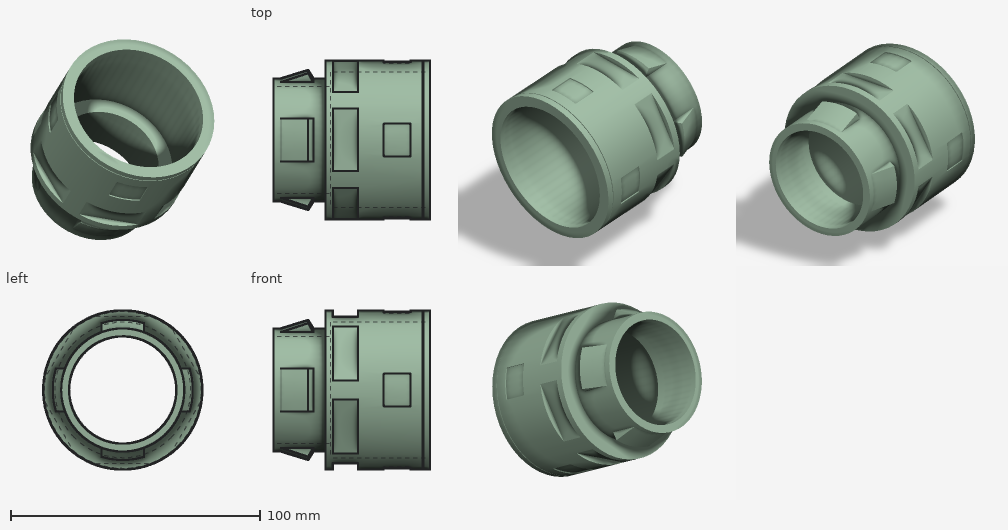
import cadquery as cq

total_length = 63.0
body_diameter = 64.0
neck_diameter = 49.5
neck_length = 20.9
bore_diameter = 43.0
socket_diameter = 54.5
socket_start = 22.9

flat_count = 6
flat_start = 23.95
flat_length = 10.0
across_flats = 58.9

recess_diameter = 63.0
window_count = 4
window_start = 44.3
window_length = 10.8
window_width = 13.2
window_corner_radius = 0.5
groove_start = 60.0
groove_width = 0.3

lug_count = 4
lug_start = 3.1
lug_crest = 14.0
lug_end = 16.05
lug_crest_radius = 28.15
lug_width = 17.1


def cylinder(start, length, diameter):
    """Cylinder along X beginning at the given X position."""
    return cq.Workplane("YZ", origin=(start, 0, 0)).circle(diameter / 2).extrude(length)


def spaced_around_x(shape, count):
    """Equally spaced copies of a shape around the X axis."""
    copies = cq.Workplane("XY")
    for index in range(count):
        copies.add(shape.rotate((0, 0, 0), (1, 0, 0), index * 360 / count).val())
    return copies.vals()


def cut_around_x(body, shape, count):
    for tool in spaced_around_x(shape, count):
        body = body.cut(cq.Workplane(tool))
    return body


def make_flat_cutter():
    """Block that lies outside the flat on the +Z side."""
    height = (body_diameter - across_flats) / 2
    return (
        cq.Workplane("XY", origin=(flat_start, 0, across_flats / 2))
        .rect(flat_length, body_diameter)
        .extrude(height)
        .translate((flat_length / 2, 0, 0))
    )


def make_window_cutter():
    """Rounded block on the +Z side with a cylindrical underside."""
    block = (
        cq.Workplane("XY", origin=(window_start + window_length / 2, 0, 0))
        .rect(window_length, window_width)
        .extrude(body_diameter)
        .edges("|Z")
        .fillet(window_corner_radius)
    )
    return block.cut(cylinder(window_start, window_length, recess_diameter))


def make_lug():
    """Revolved ramp trimmed to parallel sides on the +Z side."""
    neck_radius = neck_diameter / 2
    root_radius = (neck_diameter + bore_diameter) / 4
    ramp = (
        cq.Workplane("XZ")
        .moveTo(lug_start, root_radius)
        .lineTo(lug_start, neck_radius)
        .lineTo(lug_crest, lug_crest_radius)
        .lineTo(lug_end, neck_radius)
        .lineTo(lug_end, root_radius)
        .close()
        .revolve(360, (0, 0, 0), (1, 0, 0))
    )
    trim = cq.Workplane("XY").rect(2 * lug_end, lug_width).extrude(body_diameter)
    return ramp.intersect(trim)


body = cylinder(0, neck_length, neck_diameter)
body = body.union(cylinder(neck_length, total_length - neck_length, body_diameter))
for lug in spaced_around_x(make_lug(), lug_count):
    body = body.union(cq.Workplane(lug))

body = cut_around_x(body, make_flat_cutter(), flat_count)
body = cut_around_x(body, make_window_cutter(), window_count)

groove = cylinder(groove_start, groove_width, body_diameter).cut(
    cylinder(groove_start, groove_width, recess_diameter)
)
body = body.cut(groove)

body = body.cut(cylinder(0, total_length, bore_diameter))
result = body.cut(cylinder(socket_start, total_length - socket_start, socket_diameter))